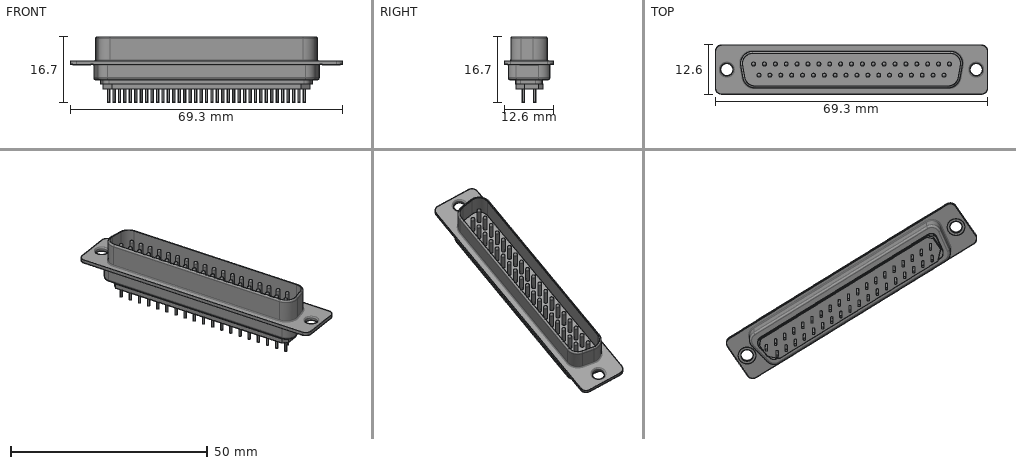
import cadquery as cq
import math


FLANGE_LENGTH = 69.32
FLANGE_WIDTH = 12.55
FLANGE_THICKNESS = 0.93
FLANGE_CORNER_RADIUS = 1.6
HOLE_SPACING = 63.5
HOLE_DIAMETER = 3.1
HOLE_EDGE_RADIUS = 0.35
HOLE_RIM_DIAMETER = 4.5
HOLE_RIM_HEIGHT = 0.12

SIDE_SLOPE = math.radians(10)

ROOT_RADIUS = 0.2

SHELL_HALF_LENGTH = 28.25
SHELL_HALF_WIDTH = 4.65
SHELL_CORNER_RADIUS = 3.1
SHELL_HEIGHT = 6.1
SHELL_WALL = 0.5
SHELL_RIM_RADIUS = 0.48

REAR_HALF_LENGTH = 28.7
REAR_HALF_WIDTH = 5.28
REAR_CORNER_RADIUS = 2.45
REAR_DEPTH = 3.9
REAR_EDGE_RADIUS = 0.55

INSULATOR_HALF_LENGTH = 27.0
INSULATOR_HALF_WIDTH = 3.42
INSULATOR_CORNER_RADIUS = 1.55
INSULATOR_DEPTH = 1.1
BASE_HALF_LENGTH = 26.4
BASE_FRONT_Y = -3.36
BASE_BACK_Y = 3.6
BASE_FRONT_CHAMFER = 2.25
BASE_BACK_CHAMFER = 1.2
BASE_FRONT_HALF_LENGTH = 24.1
BASE_DEPTH = 1.25

PIN_PITCH = 2.77
ROW_SPACING = 2.84
BACK_ROW_COUNT = 19
FRONT_ROW_COUNT = 18
CONTACT_DIAMETER = 1.0
CONTACT_HEIGHT = 5.0
TAIL_DIAMETER = 0.62
OVERALL_HEIGHT = 16.7

REAR_BOTTOM_Z = -REAR_DEPTH
INSULATOR_BOTTOM_Z = REAR_BOTTOM_Z - INSULATOR_DEPTH
BASE_BOTTOM_Z = INSULATOR_BOTTOM_Z - BASE_DEPTH
TIP_CENTER_Z = FLANGE_THICKNESS + CONTACT_HEIGHT - CONTACT_DIAMETER / 2
SHELL_TOP_Z = FLANGE_THICKNESS + SHELL_HEIGHT
TAIL_BOTTOM_Z = SHELL_TOP_Z - OVERALL_HEIGHT


def d_prism(half_length, half_width, radius, bottom_z, height):
    """Rounded D outline, longest at the centre of its +Y corner arcs, extruded upward."""
    arc_y = half_width - radius
    back_x = half_length - radius
    front_x = back_x - 2 * arc_y * math.tan(SIDE_SLOPE)
    side_x = (back_x + front_x) / 2 + radius / math.cos(SIDE_SLOPE)
    lean = half_width * math.tan(SIDE_SLOPE)
    corners = [
        (-side_x - lean, half_width),
        (side_x + lean, half_width),
        (side_x - lean, -half_width),
        (-side_x + lean, -half_width),
    ]
    prism = cq.Workplane("XY").workplane(offset=bottom_z).polyline(corners).close().extrude(height)
    return prism.edges("|Z").fillet(radius)


def make_flange():
    flange = cq.Workplane("XY").box(
        FLANGE_LENGTH, FLANGE_WIDTH, FLANGE_THICKNESS, centered=(True, True, False)
    )
    return flange.edges("|Z").fillet(FLANGE_CORNER_RADIUS)


def make_shell():
    """Solid mating shell with a rounded rim."""
    shell = d_prism(
        SHELL_HALF_LENGTH, SHELL_HALF_WIDTH, SHELL_CORNER_RADIUS, FLANGE_THICKNESS, SHELL_HEIGHT
    )
    return shell.faces(">Z").edges().fillet(SHELL_RIM_RADIUS)


def round_root(body, half_length, half_width, root_z):
    """Small fillet where a shell of the given half sizes meets the flange at root_z."""
    margin = ROOT_RADIUS
    root_zone = cq.selectors.BoxSelector(
        (-half_length - margin, -half_width - margin, root_z - margin),
        (half_length + margin, half_width + margin, root_z + margin),
        boundingbox=True,
    )
    return body.edges(root_zone).fillet(ROOT_RADIUS)


def make_cavity():
    """Opening inside the mating shell, down to the flange's upper face."""
    return d_prism(
        SHELL_HALF_LENGTH - SHELL_WALL,
        SHELL_HALF_WIDTH - SHELL_WALL,
        SHELL_CORNER_RADIUS - SHELL_WALL,
        FLANGE_THICKNESS,
        SHELL_HEIGHT,
    )


def make_rear_shell():
    rear = d_prism(
        REAR_HALF_LENGTH, REAR_HALF_WIDTH, REAR_CORNER_RADIUS, REAR_BOTTOM_Z, REAR_DEPTH
    )
    return rear.faces("<Z").edges().fillet(REAR_EDGE_RADIUS)


def make_insulator():
    """Rounded step followed by a base with cut corners."""
    step = d_prism(
        INSULATOR_HALF_LENGTH,
        INSULATOR_HALF_WIDTH,
        INSULATOR_CORNER_RADIUS,
        INSULATOR_BOTTOM_Z,
        INSULATOR_DEPTH,
    )
    side_back_y = BASE_BACK_Y - BASE_BACK_CHAMFER
    side_front_y = BASE_FRONT_Y + BASE_FRONT_CHAMFER
    right_side = [
        (BASE_FRONT_HALF_LENGTH, BASE_FRONT_Y),
        (BASE_HALF_LENGTH, side_front_y),
        (BASE_HALF_LENGTH, side_back_y),
        (BASE_HALF_LENGTH - BASE_BACK_CHAMFER, BASE_BACK_Y),
    ]
    left_side = [(-x, y) for x, y in reversed(right_side)]
    base = (
        cq.Workplane("XY")
        .workplane(offset=BASE_BOTTOM_Z)
        .polyline(right_side + left_side)
        .close()
        .extrude(BASE_DEPTH)
    )
    return step.union(base)


def hole_centers():
    return [(-HOLE_SPACING / 2, 0), (HOLE_SPACING / 2, 0)]


def make_hole_rims():
    """Low collars around the mounting holes on the flange's lower face."""
    rims = cq.Workplane("XY").pushPoints(hole_centers())
    return rims.circle(HOLE_RIM_DIAMETER / 2).extrude(-HOLE_RIM_HEIGHT)


def cut_mounting_holes(body):
    """Through holes with a rounded upper edge."""
    radius = HOLE_DIAMETER / 2
    mouth_radius = radius + HOLE_EDGE_RADIUS
    arc_bottom_z = FLANGE_THICKNESS - HOLE_EDGE_RADIUS
    arc_mid_offset = HOLE_EDGE_RADIUS * math.sqrt(0.5)
    arc_mid = (mouth_radius - arc_mid_offset, arc_bottom_z + arc_mid_offset)
    cutter = (
        cq.Workplane("XZ")
        .moveTo(0, -HOLE_RIM_HEIGHT)
        .lineTo(radius, -HOLE_RIM_HEIGHT)
        .lineTo(radius, arc_bottom_z)
        .threePointArc(arc_mid, (mouth_radius, FLANGE_THICKNESS))
        .lineTo(0, FLANGE_THICKNESS)
        .close()
        .revolve(360, (0, 0), (0, 1))
    )
    for x, y in hole_centers():
        body = body.cut(cutter.translate((x, y, 0)))
    return body


def row_positions(count, y):
    first_x = -(count - 1) * PIN_PITCH / 2
    return [(first_x + i * PIN_PITCH, y) for i in range(count)]


def pin_positions():
    back_row = row_positions(BACK_ROW_COUNT, ROW_SPACING / 2)
    front_row = row_positions(FRONT_ROW_COUNT, -ROW_SPACING / 2)
    return back_row + front_row


def make_contacts():
    """Contacts with hemispherical tips, standing in the mating shell."""
    radius = CONTACT_DIAMETER / 2
    contact = (
        cq.Workplane("XY")
        .workplane(offset=FLANGE_THICKNESS)
        .circle(radius)
        .extrude(CONTACT_HEIGHT - radius)
        .union(cq.Workplane("XY").sphere(radius).translate((0, 0, TIP_CENTER_Z)))
    )
    return cq.Workplane("XY").pushPoints(pin_positions()).eachpoint(contact)


def make_tails():
    """Solder tails below the insulator."""
    return (
        cq.Workplane("XY")
        .workplane(offset=TAIL_BOTTOM_Z)
        .pushPoints(pin_positions())
        .circle(TAIL_DIAMETER / 2)
        .extrude(BASE_BOTTOM_Z - TAIL_BOTTOM_Z)
    )


body = make_flange().union(make_shell()).union(make_rear_shell())
body = round_root(body, SHELL_HALF_LENGTH, SHELL_HALF_WIDTH, FLANGE_THICKNESS)
body = round_root(body, REAR_HALF_LENGTH, REAR_HALF_WIDTH, 0)
body = body.cut(make_cavity())
body = body.union(make_insulator()).union(make_hole_rims())
body = cut_mounting_holes(body)
result = body.union(make_contacts()).union(make_tails())